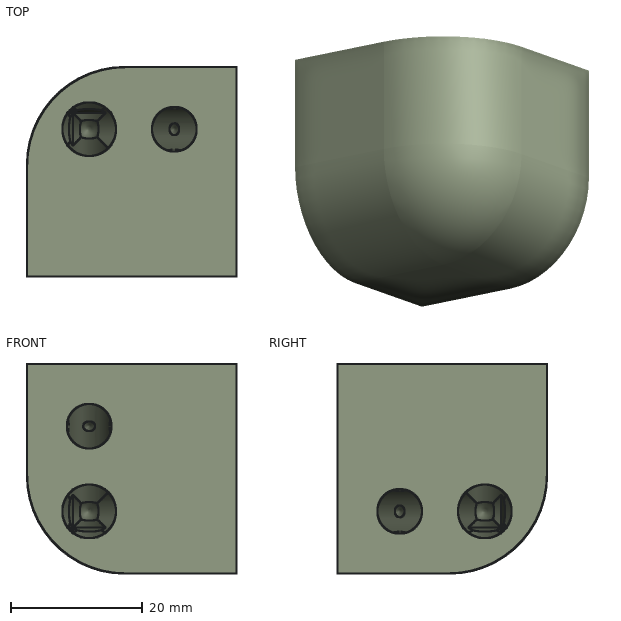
import cadquery as cq
import math

side = 32.0
corner_radius = 15.0
axis_offset = 9.5
cross_offset = 22.5
large_diameter = 8.2
small_diameter = 6.8
drill_depth = 25.0
drill_point_angle = 118.0


def drilled_hole(diameter, mouth, direction):
    """Blind hole with a conical end, cut from mouth along direction."""
    radius = diameter / 2
    point_depth = radius / math.tan(math.radians(drill_point_angle / 2))
    start = cq.Vector(*mouth)
    heading = cq.Vector(*direction)
    barrel = cq.Solid.makeCylinder(radius, drill_depth, start, heading)
    point = cq.Solid.makeCone(radius, 0, point_depth, start + heading * drill_depth, heading)
    return cq.Workplane("XY").add(barrel).union(cq.Workplane("XY").add(point))


block = (
    cq.Workplane("XY")
    .box(side, side, side, centered=False)
    .translate((0, -side, 0))
    .edges("(<X and >Y) or (<X and <Z) or (>Y and <Z)")
    .fillet(corner_radius)
)

hole_pairs = [
    ((side, -axis_offset, axis_offset), (side, -cross_offset, axis_offset), (-1, 0, 0)),
    ((axis_offset, -side, axis_offset), (axis_offset, -side, cross_offset), (0, 1, 0)),
    ((axis_offset, -axis_offset, side), (cross_offset, -axis_offset, side), (0, 0, -1)),
]

result = block
for large_mouth, small_mouth, direction in hole_pairs:
    result = result.cut(drilled_hole(large_diameter, large_mouth, direction))
    result = result.cut(drilled_hole(small_diameter, small_mouth, direction))